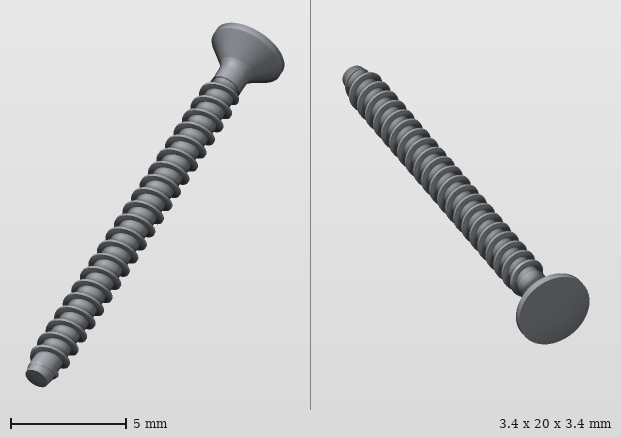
import cadquery as cq
import math

length = 20.0
head_radius = 1.7
head_rim_end = 0.32
cone_end = 1.22
cone_end_radius = 0.82
neck_start = 1.65
neck_end = 2.25
neck_radius = 0.68
core_radius = 0.62
tip_start = 19.5
tip_radius = 0.55

pitch = 0.8
thread_radius = 0.88
thread_start = 1.8
root_overlap = 0.05
root_width = 0.2
crest_width = 0.1

run_in_start = neck_end
run_in_end = 2.8
run_in_radius = 0.72
run_out_start = 18.85
run_out_end = 19.7
run_out_radius = 0.6

relief_start = 4.85
relief_end = 5.4
relief_half_width = 0.52
relief_floor = 0.35

thread_turns = math.ceil((run_out_end - thread_start) / pitch)


def turn_around_z(outline):
    """Solid of revolution from a closed (radius, height) sketch, with its seam on +Y."""
    return outline.close().revolve(360, (0, 0, 0), (0, 1, 0))


def make_body():
    """Countersunk head, filleted neck and core with a tapered tip."""
    return turn_around_z(
        cq.Workplane("YZ")
        .moveTo(0, length)
        .lineTo(tip_radius, length)
        .lineTo(core_radius, tip_start)
        .lineTo(core_radius, neck_end)
        .lineTo(neck_radius, neck_end)
        .lineTo(neck_radius, neck_start)
        .tangentArcPoint((cone_end_radius, cone_end), relative=False)
        .lineTo(head_radius, head_rim_end)
        .lineTo(head_radius, 0)
        .lineTo(0, 0)
    )


def make_thread_envelope():
    """Volume that limits the crest of the thread along its length."""
    return turn_around_z(
        cq.Workplane("YZ")
        .moveTo(0, run_in_start)
        .lineTo(run_in_radius, run_in_start)
        .lineTo(thread_radius, run_in_end)
        .lineTo(thread_radius, run_out_start)
        .lineTo(run_out_radius, run_out_end)
        .lineTo(0, run_out_end)
    )


def make_helicoid(first_point, second_point):
    """One turn of the face swept by the line between two (radius, height) points."""
    helices = [
        cq.Wire.makeHelix(pitch, pitch, radius, cq.Vector(0, 0, height))
        for radius, height in (first_point, second_point)
    ]
    return cq.Face.makeRuledSurface(*helices)


def make_turn():
    """One turn of the right-handed ridge, starting at +X, slightly higher than the crest."""
    root_radius = core_radius - root_overlap
    top_radius = thread_radius + root_overlap
    section = [
        (root_radius, thread_start - root_width / 2),
        (top_radius, thread_start - crest_width / 2),
        (top_radius, thread_start + crest_width / 2),
        (root_radius, thread_start + root_width / 2),
    ]
    sides = [make_helicoid(section[i - 1], section[i]) for i in range(len(section))]
    corners = [cq.Vector(radius, 0, height) for radius, height in section]
    start_cap = cq.Face.makeFromWires(cq.Wire.makePolygon(corners, close=True))
    end_cap = start_cap.translate(cq.Vector(0, 0, pitch))
    shell = cq.Shell.makeShell(sides + [start_cap, end_cap])
    return cq.Workplane(obj=cq.Solid.makeSolid(shell))


def make_relief():
    """Triangular cutter that leaves a flat floor facing -X, widest toward the head."""
    return (
        cq.Workplane("YZ", origin=(-relief_floor, 0, 0))
        .moveTo(relief_half_width, relief_start)
        .lineTo(-relief_half_width, relief_start)
        .lineTo(-relief_half_width, relief_end)
        .close()
        .extrude(relief_floor - thread_radius)
    )


screw = make_body()
turn = make_turn()
envelope = make_thread_envelope()
for i in range(thread_turns):
    screw = screw.union(turn.translate((0, 0, i * pitch)).intersect(envelope), clean=False)
screw = screw.cut(make_relief(), clean=False)

result = screw.solids().rotate((0, 0, 0), (1, 0, 0), 90)